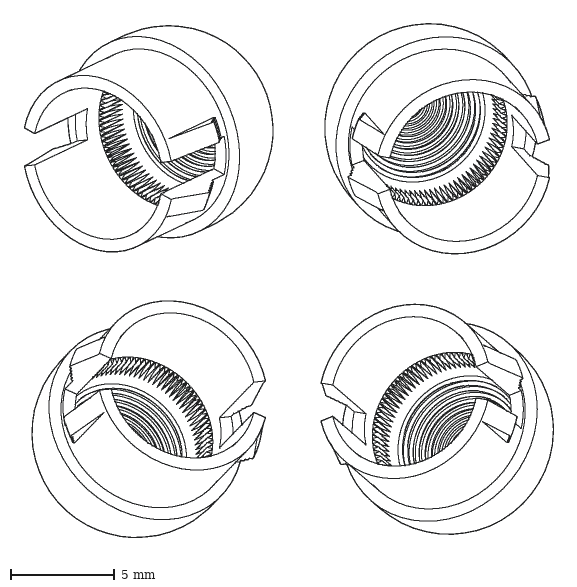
import cadquery as cq
import math

total_length = 11.1
outer_radius = 10.16 / 2
wall = 1.27
flange_thickness = 1.27
barrel_radius = 4.45
bore_radius = outer_radius - wall
flange_y = -flange_thickness
barrel_end_y = outer_radius - total_length

ring_count = 11
ring_pitch_angle = 5.0
outer_ring_angle = 61.5
tooth_base_angle = 3.2
facet_length = 0.23

rib_count = 90
rib_width = 0.21
rib_height = 0.21
rib_embed = 0.05
rib_chamfer = rib_height
rib_start_y = -0.44

slot_offset = 0.25
slot_side_slope = math.tan(math.radians(16))
slot_edge_x = 4.34
slot_edge_z = 0.98

cut_near_x = bore_radius / 2
cut_far_x = outer_radius + wall

snap_far_x = 3.97
snap_far_z = 1.99
snap_far_slope = math.tan(math.radians(12))
riser_length = 0.08
step_pitch = 0.25
tip_land = 0.17
long_snap_steps = 5
long_snap_start = 1.27
long_snap_end = 4.58
long_snap_tip_radius = outer_radius
short_snap_steps = 4
short_snap_start = 0.6
short_snap_end = 4.44
short_snap_tip_radius = 5.02
step_height = (long_snap_tip_radius - barrel_radius) / long_snap_steps


def slot_side_z(x):
    """Height of the sloping slot side at distance x from the axis."""
    return slot_edge_z + slot_side_slope * (x - slot_edge_x)


def snap_far_side_z(x):
    """Height of the snap side that faces away from the slot."""
    return snap_far_z + snap_far_slope * (x - snap_far_x)


def make_shell():
    """Dome, flange and barrel, hollowed by the stepped ceiling and the bore."""
    outer = (
        cq.Workplane("XY")
        .moveTo(0, outer_radius)
        .threePointArc(
            (outer_radius * math.sin(math.pi / 4), outer_radius * math.cos(math.pi / 4)),
            (outer_radius, 0),
        )
        .lineTo(outer_radius, flange_y)
        .lineTo(barrel_radius, flange_y)
        .lineTo(barrel_radius, barrel_end_y)
        .lineTo(0, barrel_end_y)
        .close()
        .revolve(360, (0, 0, 0), (0, 1, 0))
    )
    return outer.cut(make_cavity())


def ceiling_point(angle):
    """Point of the spherical ceiling at an angle in degrees from the axis."""
    a = math.radians(angle)
    return (bore_radius * math.sin(a), bore_radius * math.cos(a))


def make_cavity():
    """Bore with a spherical ceiling; each lens tooth is a facet that rises to a tip and a wall behind it."""
    profile = cq.Workplane("XY").moveTo(0, barrel_end_y).lineTo(0, bore_radius)
    arc_start_angle = 0
    for i in reversed(range(ring_count)):
        facet_tilt = i * ring_pitch_angle
        foot_angle = outer_ring_angle - facet_tilt
        wall_angle = foot_angle - tooth_base_angle
        foot_r, foot_y = ceiling_point(foot_angle)
        tip = (
            foot_r - facet_length * math.cos(math.radians(facet_tilt)),
            foot_y - facet_length * math.sin(math.radians(facet_tilt)),
        )
        profile = profile.threePointArc(
            ceiling_point((arc_start_angle + wall_angle) / 2), ceiling_point(wall_angle)
        )
        profile = profile.lineTo(*tip).lineTo(foot_r, foot_y)
        arc_start_angle = foot_angle
    return (
        profile.threePointArc(ceiling_point((arc_start_angle + 90) / 2), ceiling_point(90))
        .lineTo(bore_radius, barrel_end_y)
        .close()
        .revolve(360, (0, 0, 0), (0, 1, 0))
    )


def make_slot(side):
    """Tapered opening through one side of the barrel, open at the barrel end."""
    return (
        cq.Workplane("XZ", origin=(0, flange_y - slot_offset, 0))
        .polyline([
            (side * cut_near_x, -slot_side_z(cut_near_x)),
            (side * cut_far_x, -slot_side_z(cut_far_x)),
            (side * cut_far_x, slot_side_z(cut_far_x)),
            (side * cut_near_x, slot_side_z(cut_near_x)),
        ])
        .close()
        .extrude(total_length)
    )


def make_snap(x_side, z_side, start_offset, end_offset, step_count, tip_radius):
    """Stepped catch beside a slot that climbs to a tip and tapers back to the barrel."""
    root_radius = (bore_radius + barrel_radius) / 2
    start_y = flange_y - start_offset
    end_y = flange_y - end_offset
    tip_y = start_y - (step_count - 1) * step_pitch - riser_length
    points = [(root_radius, start_y), (barrel_radius, start_y)]
    for i in range(1, step_count):
        land_radius = barrel_radius + i * step_height
        land_end_y = start_y - i * step_pitch
        points.append((land_radius, land_end_y + step_pitch - riser_length))
        points.append((land_radius, land_end_y))
    points += [
        (tip_radius, tip_y),
        (tip_radius, tip_y - tip_land),
        (barrel_radius, end_y),
        (root_radius, end_y),
    ]
    ring = cq.Workplane("XY").polyline(points).close().revolve(360, (0, 0, 0), (0, 1, 0))
    sector = (
        cq.Workplane("XZ")
        .polyline([
            (x_side * cut_near_x, z_side * slot_side_z(cut_near_x)),
            (x_side * cut_far_x, z_side * slot_side_z(cut_far_x)),
            (x_side * cut_far_x, z_side * snap_far_side_z(cut_far_x)),
            (x_side * cut_near_x, z_side * snap_far_side_z(cut_near_x)),
        ])
        .close()
        .extrude(total_length)
    )
    return ring.intersect(sector)


def make_ribs():
    """Triangular ribs along the bore, each running into the ceiling and chamfered at its open end."""
    tip_radius = bore_radius - rib_height
    root_radius = bore_radius + rib_embed
    root_half_width = rib_width / 2 * (rib_height + rib_embed) / rib_height
    rib_end_y = math.sqrt(bore_radius ** 2 - tip_radius ** 2) + rib_embed
    section = (
        cq.Workplane("XZ", origin=(0, rib_end_y, 0))
        .polyline([(root_radius, -root_half_width), (root_radius, root_half_width), (tip_radius, 0)])
        .close()
        .extrude(rib_end_y - rib_start_y)
    )
    chamfer = (
        cq.Workplane("XY")
        .polyline([
            (bore_radius, rib_start_y),
            (tip_radius, rib_start_y + rib_chamfer),
            (tip_radius, rib_start_y),
        ])
        .close()
        .extrude(rib_width, both=True)
    )
    rib = section.cut(chamfer).val()
    axis_start = cq.Vector(0, 0, 0)
    axis_end = cq.Vector(0, 1, 0)
    return [rib.rotate(axis_start, axis_end, i * 360 / rib_count) for i in range(rib_count)]


def make_long_snap(side):
    return make_snap(
        side, -side, long_snap_start, long_snap_end, long_snap_steps, long_snap_tip_radius
    )


def make_short_snap(side):
    return make_snap(
        side, side, short_snap_start, short_snap_end, short_snap_steps, short_snap_tip_radius
    )


shell = make_shell().val()
result = cq.Workplane(shell.fuse(*make_ribs()))
for side in (-1, 1):
    result = result.cut(make_slot(side))
    result = result.union(make_long_snap(side))
    result = result.union(make_short_snap(side))